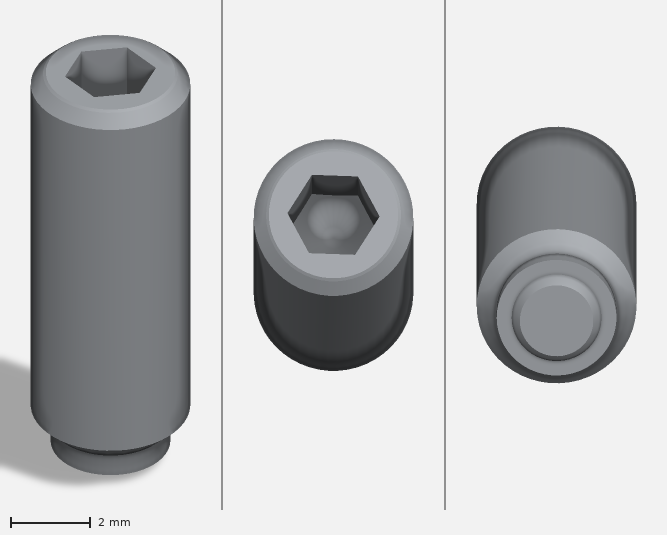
import cadquery as cq
import math

length = 11.6
thread_radius = 2.0

top_chamfer = 0.31
end_face_radius = 1.62
end_cone_height = 0.05

hex_across_flats = 2.0
hex_depth = 2.5
drill_point_angle = 120.0

dog_radius = 1.5
dog_length = 0.6
shoulder_height = thread_radius - dog_radius

ball_radius = 1.25
ball_flat_radius = 0.92
ball_protrusion = 0.3

chamfer_end_radius = thread_radius - top_chamfer
chamfer_end_z = length - end_cone_height

dog_end_z = ball_protrusion
shoulder_bottom_z = dog_end_z + dog_length
shoulder_top_z = shoulder_bottom_z + shoulder_height
ball_center_z = math.sqrt(ball_radius**2 - ball_flat_radius**2)


def full_ball():
    return cq.Workplane("XY").sphere(ball_radius).translate((0, 0, ball_center_z))


def screw_blank():
    """Turned outline, revolved about Z."""
    return (
        cq.Workplane("XZ")
        .moveTo(0, dog_end_z)
        .lineTo(dog_radius, dog_end_z)
        .lineTo(dog_radius, shoulder_bottom_z)
        .lineTo(thread_radius, shoulder_top_z)
        .lineTo(thread_radius, chamfer_end_z - top_chamfer)
        .lineTo(chamfer_end_radius, chamfer_end_z)
        .lineTo(end_face_radius, length)
        .lineTo(0, length)
        .close()
        .revolve(360, (0, 0, 0), (0, 1, 0))
    )


def hex_socket():
    """Hexagonal prism whose lower end is trimmed to the cone left by a drill."""
    corner_radius = hex_across_flats / math.sqrt(3)
    cone_height = corner_radius / math.tan(math.radians(drill_point_angle / 2))
    rim_z = length - hex_depth
    prism = (
        cq.Workplane("XY")
        .workplane(offset=rim_z - cone_height)
        .polygon(6, 2 * corner_radius)
        .extrude(hex_depth + cone_height)
    )
    drill = (
        cq.Workplane("XZ")
        .moveTo(0, rim_z - cone_height)
        .lineTo(corner_radius, rim_z)
        .lineTo(corner_radius, length)
        .lineTo(0, length)
        .close()
        .revolve(360, (0, 0, 0), (0, 1, 0))
    )
    return prism.intersect(drill)


def make_screw():
    """Set screw with a hexagon socket and a spherical seat for the ball."""
    return screw_blank().cut(hex_socket()).cut(full_ball())


def make_ball():
    """Ball with everything below its bearing flat at Z = 0 removed."""
    above_flat = cq.Workplane("XY").circle(ball_radius).extrude(ball_center_z + ball_radius)
    return full_ball().intersect(above_flat)


screw = make_screw()
ball = make_ball()

result = cq.Compound.makeCompound([screw.val(), ball.val()])